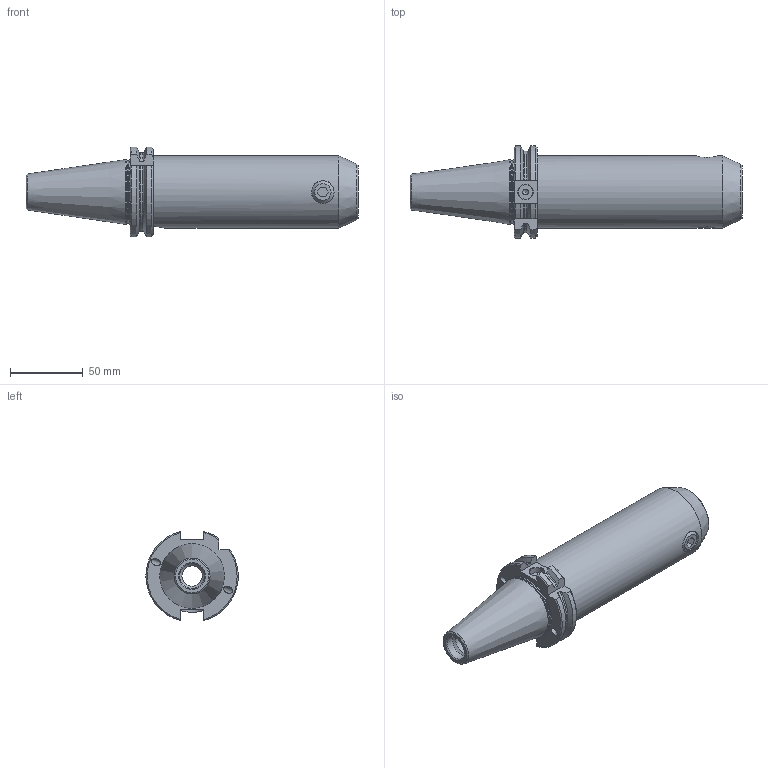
import cadquery as cq
import math

total_length = 228.4
taper_length = 68.4
flange_front_x = taper_length + 3.2
flange_back_x = taper_length + 19.1
groove_x = taper_length + 11.1

taper_slope = 7 / 24 / 2
gauge_radius = 44.45 / 2
taper_end_radius = gauge_radius - taper_length * taper_slope
taper_end_chamfer = 0.8

relief_start_x = taper_length + 0.6
relief_width = 2.0
relief_depth = 0.35
relief_flank = 0.6

flange_radius = 63.55 / 2
flange_front_chamfer = 0.8
flange_back_chamfer = 1.2
groove_width = 7.0
groove_root_radius = 56.25 / 2
groove_half_angle = math.radians(30)
groove_fillet = 1.0

body_radius = 25.0
nose_length = 13.4
nose_end_radius = 19.2
nose_end_chamfer = 0.8

bore_radius = 7.0
entry_radius = 8.5
entry_depth = 6.0
entry_chamfer = 0.7

slot_width = 16.1
top_slot_z = 25.0
bottom_slot_z = -22.8
notch_y = -18.5
notch_z = 18.2

chip_radius = 5.0
chip_depth = 4.6
chip_mouth_chamfer = 0.3
dimple_radius = 2.0
dimple_depth = 1.2

coolant_radius = 2.25
coolant_circle_radius = 26.6
coolant_angle = 21.0
coolant_slant = 45.0

screw_x = total_length - 24.2
screw_radius = 7.75
screw_chamfer = 2.1
screw_outer_y = -body_radius
screw_inner_y = -10.0
hex_across_flats = 6.6
hex_depth = 6.0


def make_blank():
    """Revolve the taper, flange, body and nose about X."""
    relief_end_x = relief_start_x + relief_width
    nose_x = total_length - nose_length
    groove_depth = flange_radius - groove_root_radius
    root_half_width = groove_width / 2 - groove_depth * math.tan(groove_half_angle)
    profile = (
        cq.Workplane("XZ")
        .moveTo(0, 0)
        .lineTo(0, taper_end_radius - taper_end_chamfer)
        .lineTo(taper_end_chamfer, taper_end_radius + taper_end_chamfer * taper_slope)
        .lineTo(taper_length, gauge_radius)
        .lineTo(relief_start_x, gauge_radius)
        .lineTo(relief_start_x + relief_flank, gauge_radius - relief_depth)
        .lineTo(relief_end_x - relief_flank, gauge_radius - relief_depth)
        .lineTo(relief_end_x, gauge_radius)
        .lineTo(flange_front_x, gauge_radius)
        .lineTo(flange_front_x, flange_radius - flange_front_chamfer)
        .lineTo(flange_front_x + flange_front_chamfer, flange_radius)
        .lineTo(groove_x - groove_width / 2, flange_radius)
        .lineTo(groove_x - root_half_width, groove_root_radius)
        .lineTo(groove_x + root_half_width, groove_root_radius)
        .lineTo(groove_x + groove_width / 2, flange_radius)
        .lineTo(flange_back_x - flange_back_chamfer, flange_radius)
        .lineTo(flange_back_x, flange_radius - flange_back_chamfer)
        .lineTo(flange_back_x, body_radius)
        .lineTo(nose_x, body_radius)
        .lineTo(total_length - nose_end_chamfer, nose_end_radius)
        .lineTo(total_length, nose_end_radius - nose_end_chamfer)
        .lineTo(total_length, 0)
        .close()
    )
    blank = profile.revolve(360, (0, 0, 0), (1, 0, 0))
    margin = 0.1
    root = cq.selectors.BoxSelector(
        (groove_x - root_half_width - margin, -flange_radius, -flange_radius),
        (groove_x + root_half_width + margin, flange_radius, flange_radius),
        boundingbox=True,
    )
    return blank.edges(root).fillet(groove_fillet)


def cut_bore(part):
    """Through bore with a chamfered, wider entry and a 45 degree step at the taper end."""
    step_end = entry_depth + entry_radius - bore_radius
    profile = (
        cq.Workplane("XZ")
        .moveTo(0, 0)
        .lineTo(0, entry_radius + entry_chamfer)
        .lineTo(entry_chamfer, entry_radius)
        .lineTo(entry_depth, entry_radius)
        .lineTo(step_end, bore_radius)
        .lineTo(total_length, bore_radius)
        .lineTo(total_length, 0)
        .close()
    )
    return part.cut(profile.revolve(360, (0, 0, 0), (1, 0, 0)))


def cut_drive_slots(part):
    """Two opposite slots; the lower one runs out into the body with a round end."""
    reach = flange_radius
    flange_width = flange_back_x - flange_front_x
    flange_slot = cq.Workplane("XY").box(flange_width, slot_width, reach, centered=(False, True, False))
    top_slot = flange_slot.translate((flange_front_x, 0, top_slot_z))
    bottom_slot = flange_slot.translate((flange_front_x, 0, bottom_slot_z - reach))
    runout = (
        cq.Workplane("XY", origin=(flange_back_x, 0, bottom_slot_z))
        .circle(slot_width / 2)
        .extrude(-reach)
    )
    return part.cut(top_slot).cut(bottom_slot).cut(runout)


def cut_notch(part):
    """Square-cornered orientation notch on the -Y, +Z edge of the flange."""
    flange_width = flange_back_x - flange_front_x
    notch = (
        cq.Workplane("XY")
        .box(flange_width, flange_radius, flange_radius, centered=False)
        .translate((flange_front_x, notch_y - flange_radius, notch_z))
    )
    return part.cut(notch)


def cut_chip_pocket(part):
    """Round pocket with a chamfered mouth and a conical dimple in its floor."""
    chamfer_floor = top_slot_z - chip_mouth_chamfer
    pocket_floor = top_slot_z - chip_depth
    profile = (
        cq.Workplane("XZ")
        .moveTo(0, top_slot_z)
        .lineTo(chip_radius + chip_mouth_chamfer, top_slot_z)
        .lineTo(chip_radius, chamfer_floor)
        .lineTo(chip_radius, pocket_floor)
        .lineTo(dimple_radius, pocket_floor)
        .lineTo(0, pocket_floor - dimple_depth)
        .close()
    )
    pocket = profile.revolve(360, (0, 0, 0), (0, 1, 0))
    return part.cut(pocket.translate((groove_x, 0, 0)))


def cut_coolant_holes(part):
    """Two opposite holes slanting from the flange face to the bore."""
    slant = math.radians(coolant_slant)
    lead = 2 * coolant_radius
    length = lead + coolant_circle_radius / math.sin(slant)
    for angle in (coolant_angle, coolant_angle + 180):
        around = math.radians(angle)
        direction = cq.Vector(
            math.cos(slant),
            -math.sin(slant) * math.cos(around),
            -math.sin(slant) * math.sin(around),
        )
        mouth = cq.Vector(
            flange_front_x,
            coolant_circle_radius * math.cos(around),
            coolant_circle_radius * math.sin(around),
        )
        hole = cq.Solid.makeCylinder(coolant_radius, length, mouth - direction * lead, direction)
        part = part.cut(cq.Workplane(obj=hole))
    return part


def cut_screw_hole(part):
    """Cross hole along Y through both walls of the body."""
    hole = (
        cq.Workplane("XZ", origin=(screw_x, 0, 0))
        .circle(screw_radius)
        .extrude(body_radius, both=True)
    )
    return part.cut(hole)


def make_holder():
    holder = make_blank()
    holder = cut_bore(holder)
    holder = cut_drive_slots(holder)
    holder = cut_notch(holder)
    holder = cut_chip_pocket(holder)
    holder = cut_coolant_holes(holder)
    return cut_screw_hole(holder)


def make_clamp_screw():
    """Headless screw with a hexagon socket facing -Y."""
    screw = (
        cq.Workplane("XZ", origin=(screw_x, screw_inner_y, 0))
        .circle(screw_radius)
        .extrude(screw_inner_y - screw_outer_y)
        .faces("<Y")
        .chamfer(screw_chamfer)
    )
    socket = (
        cq.Workplane("XZ", origin=(screw_x, screw_outer_y, 0))
        .transformed(rotate=(0, 0, 30))
        .polygon(6, hex_across_flats, circumscribed=True)
        .extrude(-hex_depth)
    )
    return screw.cut(socket)


holder = make_holder()
clamp_screw = make_clamp_screw()

result = cq.Compound.makeCompound([holder.val(), clamp_screw.val()])